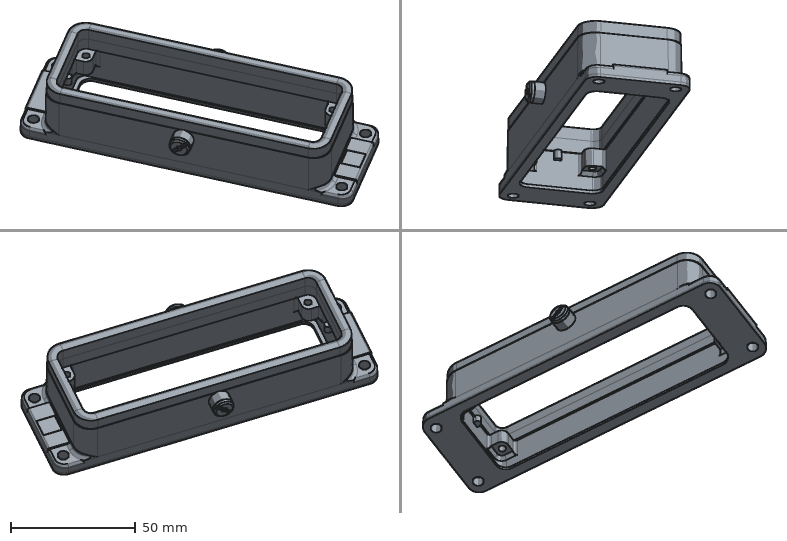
import cadquery as cq
import math

FLANGE_LENGTH = 140.01
FLANGE_WIDTH = 43.5
FLANGE_CORNER_RADIUS = 5.0
FLANGE_TOP = 5.55
FLANGE_EDGE_RADIUS = 1.4
FLANGE_EDGE_TRIM = 0.05
FOOT_HEIGHT = 1.4
FLANGE_DRAFT = 1.0
SCREW_HOLE_DIAMETER = 4.5
SCREW_SPACING_X = 130.0
SCREW_SPACING_Y = 32.0

PAD_WIDTH = 22.4
PAD_TOP = 6.35
PAD_EDGE_RADIUS = 0.85
EMBLEM_SIZE = 7.9
EMBLEM_CENTER_X = 64.9
EMBLEM_DEPTH = 0.2

HEIGHT = 28.9
BODY_LENGTH = 120.3
BODY_CORNER_RADIUS = 7.5
BODY_DRAFT = 0.5
BODY_FILLET_RADIUS = 1.8
COLLAR_BOTTOM = 23.3
COLLAR_STEP = 0.2
RIM_WIDTH = 4.0
RIM_CROWN = 0.5
OVERHANG_BOTTOM = 17.5
CAVITY_UNDERCUT = 0.75
LEDGE_OPENING_LENGTH = 109.0
LEDGE_CORNER_RADIUS = 4.5

BOSS_TOP = OVERHANG_BOTTOM
BOSS_BOTTOM = 10.0
BOSS_FOOT_DROP = 1.9
BOSS_FOOT_WIDTH = 1.3
BOSS_INNER_X = 49.05
BOSS_INNER_Y = 9.98
BOSS_CORNER_RADIUS = 3.05
BOSS_FILLET_RADIUS = 1.3
BOSS_HOLE_DIAMETER = 3.0
BOSS_HOLE_X = 52.07
BOSS_HOLE_Y = 13.5

STOP_WIDTH = 3.0
STOP_TIP_X = 53.95
STOP_TOP = OVERHANG_BOTTOM
STOP_BOTTOM = 13.8

PIN_Z = 19.1
PIN_DIAMETER = 8.8
PIN_HEAD_DIAMETER = 8.5
PIN_TIP_SPAN = 55.89
PIN_SHANK_END_Y = 26.0
PIN_CHAMFER = 0.7
PIN_SLOT_WIDTH = 1.2
PIN_SLOT_DEPTH = 0.5
PIN_SLOT_ANGLE = 45
PIN_HOLE_DIAMETER = 2.2
PIN_HOLE_DEPTH = 1.0

ARC_MIDDLE = 1 - math.sqrt(0.5)
PIN_TIP_Y = PIN_TIP_SPAN / 2
BODY_WIDTH = FLANGE_WIDTH
FLANGE_INSET = (FLANGE_TOP - FOOT_HEIGHT) * math.tan(math.radians(FLANGE_DRAFT))
BODY_SLOPE = math.tan(math.radians(BODY_DRAFT))
BODY_INSET = FLANGE_INSET + (COLLAR_BOTTOM - FLANGE_TOP) * BODY_SLOPE
THROAT_FLARE = (COLLAR_BOTTOM - OVERHANG_BOTTOM) * BODY_SLOPE
COLLAR_INSET = BODY_INSET + COLLAR_STEP
COLLAR_LENGTH = BODY_LENGTH - 2 * COLLAR_INSET
COLLAR_WIDTH = BODY_WIDTH - 2 * COLLAR_INSET
COLLAR_CORNER_RADIUS = BODY_CORNER_RADIUS
RIM_EDGE_Z = HEIGHT - RIM_CROWN
MOUTH_LENGTH = COLLAR_LENGTH - 2 * RIM_WIDTH
MOUTH_WIDTH = COLLAR_WIDTH - 2 * RIM_WIDTH
MOUTH_CORNER_RADIUS = COLLAR_CORNER_RADIUS - RIM_WIDTH
CAVITY_LENGTH = MOUTH_LENGTH + 2 * CAVITY_UNDERCUT
CAVITY_WIDTH = MOUTH_WIDTH + 2 * CAVITY_UNDERCUT


def rounded_block(length, width, radius, bottom, top, draft=0.0):
    """Block centred on the Z axis; its four vertical edges are rounded, its sides lean inwards by draft."""
    outline = cq.Sketch().rect(length, width).vertices().fillet(radius)
    return cq.Workplane().workplane(offset=bottom).placeSketch(outline).extrude(top - bottom, taper=draft)


def plain_flange(top):
    """Vertical foot with the drafted flange side above it, up to the level top."""
    foot = rounded_block(FLANGE_LENGTH, FLANGE_WIDTH, FLANGE_CORNER_RADIUS, 0, FOOT_HEIGHT)
    upper = rounded_block(
        FLANGE_LENGTH, FLANGE_WIDTH, FLANGE_CORNER_RADIUS, FOOT_HEIGHT, top, FLANGE_DRAFT
    )
    return foot.union(upper)


def rounded_flange(top, edge_radius):
    """Flange with its whole top edge rounded."""
    return plain_flange(top).faces(">Z").edges().fillet(edge_radius)


def flange():
    """Flange with rounded top edges on its end lobes and a raised pad at each end."""
    lobes = rounded_flange(FLANGE_TOP + FLANGE_EDGE_TRIM, FLANGE_EDGE_RADIUS)
    lobes = lobes.intersect(cq.Workplane().box(FLANGE_LENGTH, FLANGE_WIDTH, 2 * FLANGE_TOP))
    under_body = rounded_block(BODY_LENGTH, BODY_WIDTH, BODY_CORNER_RADIUS, 0, FLANGE_TOP)
    middle = plain_flange(FLANGE_TOP).intersect(under_body)
    pads = rounded_flange(PAD_TOP, PAD_EDGE_RADIUS)
    pads = pads.intersect(cq.Workplane().box(FLANGE_LENGTH, PAD_WIDTH, 2 * PAD_TOP))
    return lobes.union(middle).union(pads)


def emblem_recess():
    """Shallow square recess in the +X pad."""
    return (
        cq.Workplane().workplane(offset=PAD_TOP - EMBLEM_DEPTH)
        .center(EMBLEM_CENTER_X, 0).rect(EMBLEM_SIZE, EMBLEM_SIZE).extrude(EMBLEM_DEPTH)
    )


def body_shell():
    """Outside of the body: a drafted lower part and a slightly smaller collar."""
    length = BODY_LENGTH - 2 * FLANGE_INSET
    width = BODY_WIDTH - 2 * FLANGE_INSET
    lower = rounded_block(length, width, BODY_CORNER_RADIUS, FLANGE_TOP, COLLAR_BOTTOM, BODY_DRAFT)
    collar = rounded_block(COLLAR_LENGTH, COLLAR_WIDTH, COLLAR_CORNER_RADIUS, COLLAR_BOTTOM, RIM_EDGE_Z)
    return lower.union(collar)


def rim_crown():
    """Shallow rounded crown that runs around the top of the collar."""
    middle_length = COLLAR_LENGTH - RIM_WIDTH
    middle_width = COLLAR_WIDTH - RIM_WIDTH
    path = (
        cq.Workplane().workplane(offset=RIM_EDGE_Z)
        .placeSketch(
            cq.Sketch().rect(middle_length, middle_width)
            .vertices().fillet(COLLAR_CORNER_RADIUS - RIM_WIDTH / 2)
        )
        .extrude(RIM_CROWN).faces("<Z").wires()
    )
    profile = (
        cq.Workplane("YZ").center(middle_width / 2, RIM_EDGE_Z)
        .moveTo(-RIM_WIDTH / 2, 0)
        .threePointArc((0, RIM_CROWN), (RIM_WIDTH / 2, 0))
        .close()
    )
    return profile.sweep(path)


def end_fillet():
    """Concave fillet between the -X end of the body and the flange."""
    radius = BODY_FILLET_RADIUS
    wall = BODY_CORNER_RADIUS - FLANGE_INSET
    axis_x = BODY_LENGTH / 2 - BODY_CORNER_RADIUS
    axis_y = BODY_WIDTH / 2 - BODY_CORNER_RADIUS
    middle = radius * ARC_MIDDLE
    overlap = radius * BODY_SLOPE + COLLAR_STEP

    def profile(offset_y):
        return (
            cq.Workplane("XZ", origin=(-axis_x, offset_y, FLANGE_TOP))
            .moveTo(-wall - radius, 0)
            .threePointArc((-wall - middle, middle), (-wall, radius))
            .lineTo(-wall + overlap, radius)
            .lineTo(-wall + overlap, -FLANGE_EDGE_RADIUS)
            .lineTo(-wall - radius, -FLANGE_EDGE_RADIUS)
            .close()
        )

    fillet = profile(axis_y).extrude(2 * axis_y)
    fillet = fillet.union(profile(-axis_y).revolve(90, (0, 0, 0), (0, 1, 0)))
    return fillet.union(profile(axis_y).revolve(90, (0, 0, 0), (0, -1, 0)))


def cavity():
    """Through opening: mouth, drafted throat, wider lower chamber and the ledge opening at the bottom."""
    mouth = rounded_block(MOUTH_LENGTH, MOUTH_WIDTH, MOUTH_CORNER_RADIUS, COLLAR_BOTTOM, HEIGHT)
    throat = rounded_block(
        MOUTH_LENGTH + 2 * THROAT_FLARE, MOUTH_WIDTH + 2 * THROAT_FLARE, MOUTH_CORNER_RADIUS + THROAT_FLARE,
        OVERHANG_BOTTOM, COLLAR_BOTTOM, BODY_DRAFT,
    )
    chamber = rounded_block(
        CAVITY_LENGTH, CAVITY_WIDTH, MOUTH_CORNER_RADIUS, FOOT_HEIGHT, OVERHANG_BOTTOM
    )
    opening = rounded_block(LEDGE_OPENING_LENGTH, MOUTH_WIDTH, LEDGE_CORNER_RADIUS, 0, FOOT_HEIGHT)
    return mouth.union(throat).union(chamber).union(opening)


def boss():
    """Screw boss in the (-X, -Y) cavity corner, blended into both walls."""
    wall_x = CAVITY_LENGTH / 2
    wall_y = CAVITY_WIDTH / 2
    blend = BOSS_FILLET_RADIUS
    diagonal = blend * ARC_MIDDLE
    corner = BOSS_CORNER_RADIUS
    bulge = corner * ARC_MIDDLE
    inside = RIM_WIDTH / 4
    foot_bottom = BOSS_BOTTOM - BOSS_FOOT_DROP
    outline = (
        cq.Workplane().workplane(offset=foot_bottom)
        .moveTo(-wall_x - inside, -wall_y - inside)
        .lineTo(-BOSS_INNER_X + blend, -wall_y - inside)
        .lineTo(-BOSS_INNER_X + blend, -wall_y)
        .threePointArc((-BOSS_INNER_X + diagonal, -wall_y + diagonal), (-BOSS_INNER_X, -wall_y + blend))
        .lineTo(-BOSS_INNER_X, -BOSS_INNER_Y - corner)
        .threePointArc(
            (-BOSS_INNER_X - bulge, -BOSS_INNER_Y - bulge), (-BOSS_INNER_X - corner, -BOSS_INNER_Y)
        )
        .lineTo(-wall_x + blend, -BOSS_INNER_Y)
        .threePointArc((-wall_x + diagonal, -BOSS_INNER_Y + diagonal), (-wall_x, -BOSS_INNER_Y + blend))
        .lineTo(-wall_x - inside, -BOSS_INNER_Y + blend)
        .close()
    )
    foot_angle = math.degrees(math.atan(BOSS_FOOT_WIDTH / BOSS_FOOT_DROP))
    space_below = rounded_block(
        CAVITY_LENGTH, CAVITY_WIDTH, MOUTH_CORNER_RADIUS, foot_bottom, BOSS_BOTTOM, foot_angle
    )
    return outline.extrude(BOSS_TOP - foot_bottom).cut(space_below)


def stop():
    """Round-nosed stop on the -X end wall of the cavity."""
    radius = STOP_WIDTH / 2
    root_x = CAVITY_LENGTH / 2 + radius
    return (
        cq.Workplane().workplane(offset=STOP_BOTTOM)
        .moveTo(-root_x, -radius)
        .lineTo(-STOP_TIP_X - radius, -radius)
        .threePointArc((-STOP_TIP_X, 0), (-STOP_TIP_X - radius, radius))
        .lineTo(-root_x, radius)
        .close().extrude(STOP_TOP - STOP_BOTTOM)
    )


def pin():
    """Locking pin on the -Y side with a slotted, drilled and chamfered head."""
    root_y = MOUTH_WIDTH / 2 + RIM_WIDTH / 2
    tip = cq.Workplane("XZ", origin=(0, -PIN_TIP_Y, PIN_Z))
    shank = (
        cq.Workplane("XZ", origin=(0, -root_y, PIN_Z))
        .circle(PIN_DIAMETER / 2).extrude(PIN_SHANK_END_Y - root_y)
    )
    head = (
        tip.circle(PIN_HEAD_DIAMETER / 2).extrude(PIN_SHANK_END_Y - PIN_TIP_Y)
        .faces("<Y").chamfer(PIN_CHAMFER)
    )
    slot = (
        tip.transformed(rotate=(0, 0, PIN_SLOT_ANGLE))
        .rect(PIN_HEAD_DIAMETER, PIN_SLOT_WIDTH).extrude(-PIN_SLOT_DEPTH)
    )
    hole = tip.circle(PIN_HOLE_DIAMETER / 2).extrude(-PIN_HOLE_DEPTH)
    return shank.union(head).cut(slot).cut(hole)


def both_ends(shape):
    return shape.union(shape.mirror("YZ"))


def both_sides(shape):
    return shape.union(shape.mirror("XZ"))


def vertical_holes(spacing_x, spacing_y, diameter):
    """Four through holes at the corners of a rectangle."""
    return (
        cq.Workplane().rect(spacing_x, spacing_y, forConstruction=True).vertices()
        .circle(diameter / 2).extrude(HEIGHT)
    )


fillets = both_ends(end_fillet()).intersect(
    rounded_flange(FLANGE_TOP + BODY_FILLET_RADIUS, BODY_FILLET_RADIUS)
)

result = flange().union(body_shell()).union(fillets).union(rim_crown())
result = result.cut(cavity())
result = result.union(both_sides(both_ends(boss())))
result = result.union(both_ends(stop()))
result = result.union(both_sides(pin()))
result = result.cut(emblem_recess())
result = result.cut(vertical_holes(SCREW_SPACING_X, SCREW_SPACING_Y, SCREW_HOLE_DIAMETER))
result = result.cut(vertical_holes(2 * BOSS_HOLE_X, 2 * BOSS_HOLE_Y, BOSS_HOLE_DIAMETER))
result = cq.Workplane(result.solids().val())